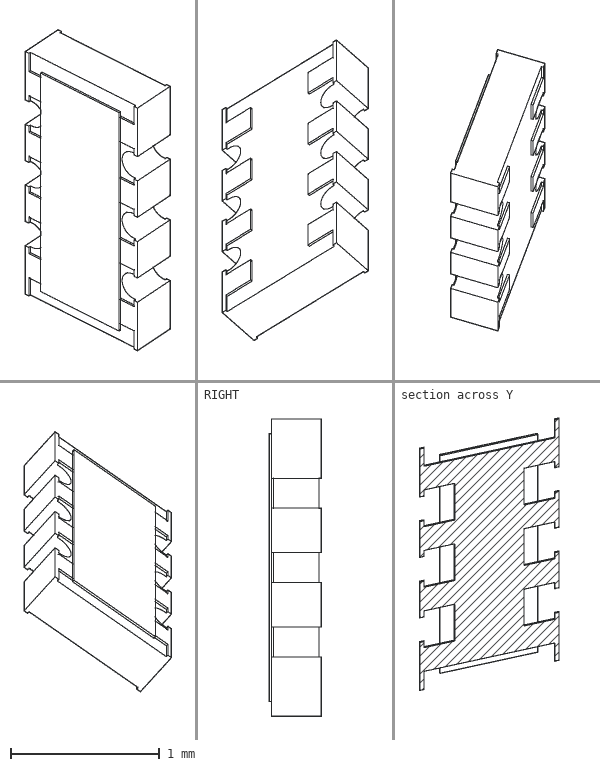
import cadquery as cq

width = 1.0
length = 2.0
thickness = 0.35

coat_step = 0.015
pad_thickness = 0.015
front = -thickness / 2
pad_front = front + coat_step
substrate_front = pad_front + pad_thickness
back = thickness / 2
substrate_back = back - pad_thickness

terminals_per_side = 4
pitch = length / terminals_per_side
pad_height = 0.2
pad_reach = 0.25
cap_thickness = 0.032

notch_radius = 0.1
notch_depth = 0.15

coat_width = width - 2 * notch_depth
coat_height = 1.8

film_width = width - 2 * pad_reach
film_height = (terminals_per_side - 1) * pitch + pad_height

terminal_heights = [(i - (terminals_per_side - 1) / 2) * pitch for i in range(terminals_per_side)]
notch_heights = [z + pitch / 2 for z in terminal_heights[:-1]]


def block(x_range, y_range, z_range):
    """Box spanning the given (low, high) range on each axis."""
    corner = (x_range[0], y_range[0], z_range[0])
    size = [high - low for low, high in (x_range, y_range, z_range)]
    return cq.Workplane("XY").box(*size, centered=False).translate(corner)


def centred(size, middle=0.0):
    """Range of the given size about a middle value."""
    return (middle - size / 2, middle + size / 2)


def side_range(side, outer, inner):
    """X range between two distances from the centre, on the left (-1) or right (+1)."""
    return tuple(sorted((side * outer, side * inner)))


def notch(side, z):
    """Cutter for one notch, running right through the thickness."""
    arc_centre = width / 2 - notch_depth + notch_radius
    through = (front, back)
    mouth = block(side_range(side, width / 2, arc_centre), through, centred(2 * notch_radius, z))
    round_end = (
        cq.Workplane("XZ", origin=(side * arc_centre, back, z))
        .circle(notch_radius)
        .extrude(thickness)
    )
    return mouth.union(round_end)


def pads(side, z):
    """Front and back pads of one terminal."""
    reach = side_range(side, width / 2, width / 2 - pad_reach)
    heights = centred(pad_height, z)
    front_pad = block(reach, (pad_front, substrate_front), heights)
    back_pad = block(reach, (substrate_back, back), heights)
    return front_pad.union(back_pad)


substrate_width = width - 2 * cap_thickness
result = block(centred(substrate_width), (substrate_front, substrate_back), centred(length))
for side in (-1, 1):
    cap_range = side_range(side, width / 2, substrate_width / 2)
    result = result.union(block(cap_range, (pad_front, back), centred(length)))
    for z in terminal_heights:
        result = result.union(pads(side, z))

for side in (-1, 1):
    for z in notch_heights:
        result = result.cut(notch(side, z))

film_range = (pad_front, substrate_front)
result = result.union(block(centred(film_width), film_range, centred(film_height)))
result = result.union(block(centred(coat_width), (front, pad_front), centred(coat_height)))